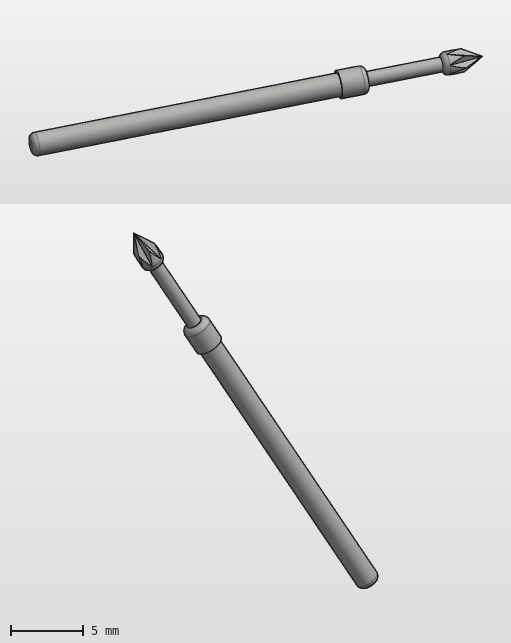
import cadquery as cq
import math


barrel_diameter = 1.65
barrel_length = 22.0
barrel_end_round = 0.4

collar_diameter = 2.0
collar_length = 2.0
collar_front_round = 0.4

shaft_diameter = 1.05
plunger_length = 8.3
head_diameter = barrel_diameter
head_length = 3.0
head_back_round = 0.45

flute_count = 6
ridge_half_angle = 30.0

flute_length = head_length - head_back_round
barrel_radius = barrel_diameter / 2
collar_radius = collar_diameter / 2
shaft_radius = shaft_diameter / 2
head_radius = head_diameter / 2
tip_y = collar_length + plunger_length
flute_end_y = tip_y - flute_length
head_back_y = tip_y - head_length


def cylinder(radius, start_y, length):
    """Cylinder on the Y axis, from start_y toward +Y."""
    return cq.Workplane("XZ", origin=(0, start_y, 0)).circle(radius).extrude(-length)


def make_barrel():
    barrel = cylinder(barrel_radius, -barrel_length, barrel_length)
    return barrel.faces("<Y").edges().fillet(barrel_end_round)


def make_collar():
    collar = cylinder(collar_radius, 0, collar_length)
    return collar.faces(">Y").edges().fillet(collar_front_round)


def make_head_back():
    """Rounded rear of the head, running down to the shaft."""
    flat_radius = head_radius - head_back_round
    arc_end = (head_radius, flute_end_y)
    diagonal_offset = head_back_round * math.cos(math.radians(45))
    arc_middle = (flat_radius + diagonal_offset, flute_end_y - diagonal_offset)
    return (
        cq.Workplane("XY")
        .moveTo(0, head_back_y)
        .lineTo(flat_radius, head_back_y)
        .threePointArc(arc_middle, arc_end)
        .lineTo(0, flute_end_y)
        .close()
        .revolve(360, (0, 0, 0), (0, 1, 0))
    )


def make_star_pyramid():
    """Star-based pyramid whose valleys reach the head surface at its base."""
    ridge_radius = flute_length * math.tan(math.radians(ridge_half_angle))
    corner_step = math.pi / flute_count
    corners = []
    for i in range(2 * flute_count):
        radius = ridge_radius if i % 2 == 0 else head_radius
        angle = i * corner_step
        corners.append(cq.Vector(radius * math.cos(angle), flute_end_y, radius * math.sin(angle)))

    apex = cq.Vector(0, tip_y, 0)
    faces = [cq.Face.makeFromWires(cq.Wire.makePolygon(corners, close=True))]
    for corner, next_corner in zip(corners, corners[1:] + corners[:1]):
        side = cq.Wire.makePolygon([corner, next_corner, apex], close=True)
        faces.append(cq.Face.makeFromWires(side))
    return cq.Workplane(obj=cq.Solid.makeSolid(cq.Shell.makeShell(faces)))


def make_fluted_point():
    """Star pyramid trimmed to the head diameter."""
    return cylinder(head_radius, flute_end_y, flute_length).intersect(make_star_pyramid())


shaft = cylinder(shaft_radius, collar_length, flute_end_y - collar_length)

result = (
    make_barrel()
    .union(make_collar())
    .union(shaft)
    .union(make_head_back())
    .union(make_fluted_point())
)